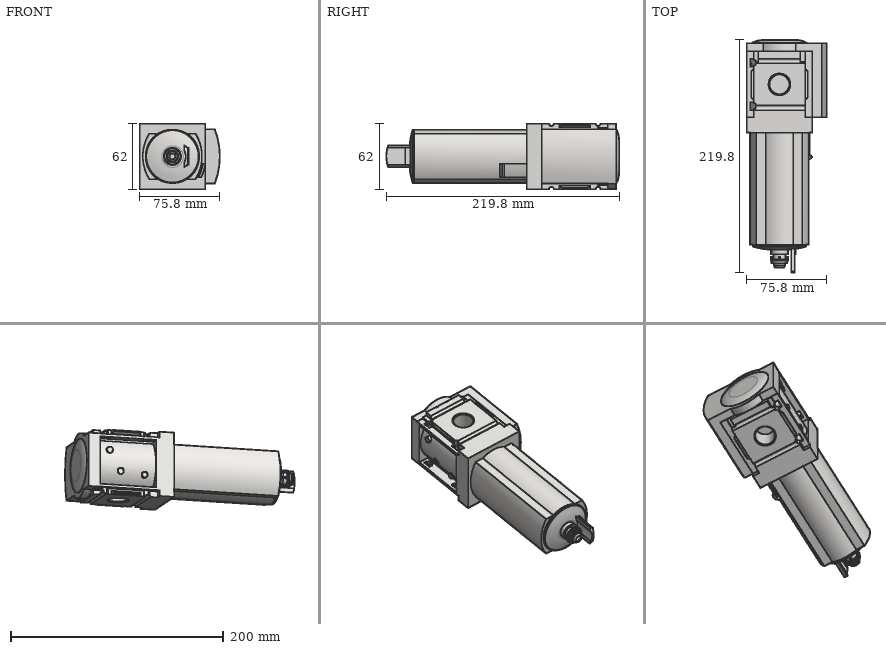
import cadquery as cq

head_half_width = 31.0
head_half_height = 31.0
head_back = 84.5
collar_depth = 14.3
back_wall_front = 76.5
frame_half_height = 25.7
floor_half_height = 25.5
cover_edge_x = 40.0
cover_crown_x = 44.8
back_crown_half_width = 15.4

port_block_half_width = 24.2
port_y = 45.5
port_diameter = 18.7
port_mouth_diameter = 20.7
port_mouth_chamfer = (port_mouth_diameter - port_diameter) / 2
port_depth = 22.0
groove_radius = 2.2
groove_offset = 22.0
corner_pad_height = 27.0
corner_pad_front = 67.0
corner_pad_inner_x = 19.8
lug_length = 29.5
lug_reach = 2.5
lug_bottom = 27.5
lug_face_bottom = 29.5
lug_top = 30.8

window_half_height = 22.9
window_front = 17.5
window_back = 73.0
window_floor_x = -20.9
drum_radius = 29.5
drum_pins = [(62.9, 10.8, 6.0), (28.4, -11.0, 5.5)]
drum_dimple = (51.7, -8.5, 6.0)
drum_dimple_floor_x = -27.0

notch_offset = 20.5
notch_half_width = 3.7
notch_throat_half_width = 3.0
notch_tip_half_width = 2.0
notch_outer_x = -27.5
notch_tip_x = -22.2

cap_back = 87.5
cap_rim_back = 84.6
cap_flat_radius = 15.4

guard_front = -105.7
guard_half_height = 21.5
guard_corner_x = 21.8
guard_side_x = 28.0
bowl_diameter = 50.3

end_ring_radius = 25.3
end_ring_front = -107.0
dome_radius = 24.6
dome_rim_front = -107.7
dome_shoulder = (19.3, -109.0)
dome_flat_radius = 10.1
dome_front = -110.4

drain_bore_diameter = 5.5
drain_bore_depth = 11.0
drain_collar_radius = 8.1
drain_neck_radius = 6.0
drain_steps = [
    (drain_collar_radius, -114.8),
    (drain_neck_radius, -119.5),
    (drain_collar_radius, -121.0),
    (7.5, -123.0),
    (5.5, -125.0),
    (4.8, -127.3),
]
drain_tip_fillet = 1.0
drain_lug_count = 4
drain_lug_width = 1.5
drain_lug_back = -117.2
drain_lug_front = -118.7

tab_inner_x = 11.0
tab_hollow_radius = 12.5
tab_outer_x = 14.5
tab_inner_half_height = 10.3
tab_outer_half_height = 8.0
tab_back = -107.7
tab_tip = -132.3
tab_corner_y = -130.4
tab_pad_x = 15.4
tab_pad_front = -114.5

lock_top = -7.0
lock_bottom = -19.5
lock_thickness = 1.43
lock_ridge_height = 3.7
lock_ridge_back = -21.0
lock_ridge_crest = -22.9
lock_front = -25.0

guard_bulge = guard_side_x - guard_corner_x
guard_side_radius = (guard_half_height**2 + guard_bulge**2) / (2 * guard_bulge)
guard_side_center_x = guard_side_x - guard_side_radius


def block(x0, x1, y0, y1, z0, z1):
    """Box between two corners."""
    return cq.Workplane("XY").box(x1 - x0, y1 - y0, z1 - z0, centered=False).translate((x0, y0, z0))


def along_y(outline, y0, y1):
    """Extrude an XZ outline from y0 to y1, where y1 is greater."""
    return outline.extrude(-(y1 - y0)).translate((0, y0, 0))


def along_x(y, z, diameter, x0, x1):
    """Round bar parallel to X."""
    return cq.Workplane("YZ", origin=(x0, 0, 0)).center(y, z).circle(diameter / 2).extrude(x1 - x0)


def both_sides_z(shape):
    """Shape joined with its mirror image across Z = 0."""
    return shape.union(shape.mirror("XY"))


def both_sides_x(shape):
    """Shape joined with its mirror image across X = 0."""
    return shape.union(shape.mirror("YZ"))



def head_core():
    """Front collar, floors, back wall and the crowned side cover."""
    collar = block(-head_half_width, head_half_width, 0, collar_depth, -head_half_height, head_half_height)
    core = block(-head_half_width, head_half_width, 0, back_wall_front, -floor_half_height, floor_half_height)
    back_wall = block(
        -head_half_width, head_half_width, back_wall_front, head_back, -frame_half_height, frame_half_height
    )
    cover = along_y(
        cq.Workplane("XZ")
        .moveTo(head_half_width, -frame_half_height)
        .lineTo(cover_edge_x, -frame_half_height)
        .threePointArc((cover_crown_x, 0), (cover_edge_x, frame_half_height))
        .lineTo(head_half_width, frame_half_height)
        .close(),
        collar_depth,
        head_back,
    )
    crown = along_y(
        cq.Workplane("XZ")
        .moveTo(-back_crown_half_width, 0)
        .lineTo(-back_crown_half_width, frame_half_height)
        .threePointArc((0, head_half_height), (back_crown_half_width, frame_half_height))
        .lineTo(back_crown_half_width, 0)
        .close(),
        back_wall_front,
        head_back,
    )
    return collar.union(core).union(back_wall).union(cover).union(both_sides_z(crown))


def side_lug():
    """Lug on the -X side of the upper port block, bevelled below and at both ends."""
    root_x = -port_block_half_width
    face_x = root_x - lug_reach
    plan = (
        cq.Workplane("XY")
        .polyline([
            (0, port_y - lug_length / 2),
            (root_x, port_y - lug_length / 2),
            (face_x, port_y - lug_length / 2 + lug_reach),
            (face_x, port_y + lug_length / 2 - lug_reach),
            (root_x, port_y + lug_length / 2),
            (0, port_y + lug_length / 2),
        ])
        .close()
        .extrude(lug_top)
    )
    profile = along_y(
        cq.Workplane("XZ")
        .polyline([
            (0, lug_top),
            (face_x, lug_top),
            (face_x, lug_face_bottom),
            (root_x, lug_bottom),
            (0, lug_bottom),
        ])
        .close(),
        0,
        head_back,
    )
    return plan.intersect(profile)


def port_block():
    """Upper port block with its side lugs, lowered back corners and cross grooves."""
    half_width = port_block_half_width
    body = block(-half_width, half_width, collar_depth, back_wall_front, 0, head_half_height)
    body = body.union(both_sides_x(side_lug()))
    corner = block(
        -half_width, -corner_pad_inner_x, corner_pad_front, back_wall_front, corner_pad_height, head_half_height
    )
    body = body.cut(both_sides_x(corner))
    for direction in (-1, 1):
        groove_y = port_y + direction * groove_offset
        body = body.cut(along_x(groove_y, head_half_height, 2 * groove_radius, -half_width, half_width))
    return body


def port():
    """Upper port with a chamfered mouth."""
    mouth_radius = port_mouth_diameter / 2
    bore_radius = port_diameter / 2
    return (
        cq.Workplane("XZ")
        .polyline([
            (0, head_half_height),
            (mouth_radius, head_half_height),
            (bore_radius, head_half_height - port_mouth_chamfer),
            (bore_radius, head_half_height - port_depth),
            (0, head_half_height - port_depth),
        ])
        .close()
        .revolve(360, (0, 0), (0, 1))
        .translate((0, port_y, 0))
    )


def window():
    """Pocket in the -X side around the round core, its pins left standing and its dimple sunk."""
    pocket = block(
        -head_half_width, window_floor_x, window_front, window_back, -window_half_height, window_half_height
    )
    pocket = pocket.cut(along_y(cq.Workplane("XZ").circle(drum_radius), window_front, window_back))
    for y, z, diameter in drum_pins:
        pocket = pocket.cut(along_x(y, z, diameter, -drum_radius, 0))
    y, z, diameter = drum_dimple
    return pocket.union(along_x(y, z, diameter, -drum_radius, drum_dimple_floor_x))


def notch(y):
    """Upright notch from the upper port block through the floor into the window."""
    return (
        cq.Workplane("XY", origin=(0, y, window_half_height))
        .polyline([
            (notch_outer_x, -notch_half_width),
            (-port_block_half_width, -notch_half_width),
            (-port_block_half_width, -notch_throat_half_width),
            (notch_tip_x, -notch_tip_half_width),
            (notch_tip_x, notch_tip_half_width),
            (-port_block_half_width, notch_throat_half_width),
            (-port_block_half_width, notch_half_width),
            (notch_outer_x, notch_half_width),
        ])
        .close()
        .extrude(head_half_height - window_half_height)
    )


def back_cap():
    """Round cap with a curved shoulder on the back wall."""
    return (
        cq.Workplane("XY")
        .moveTo(0, cap_back)
        .lineTo(cap_flat_radius, cap_back)
        .tangentArcPoint((frame_half_height, cap_rim_back), relative=False)
        .lineTo(frame_half_height, back_wall_front)
        .lineTo(0, back_wall_front)
        .close()
        .revolve(360, (0, 0), (0, 1))
    )


def make_head():
    """Head with its ports, window and notches."""
    head = head_core().union(both_sides_z(port_block())).union(back_cap())
    head = head.cut(both_sides_z(port()))
    head = head.cut(window())
    for direction in (-1, 1):
        head = head.cut(both_sides_z(notch(port_y + direction * notch_offset)))
    return head



def guard():
    """Bulged-sided guard joined with the round bowl."""
    sides = along_y(
        cq.Workplane("XZ")
        .moveTo(-guard_corner_x, guard_half_height)
        .lineTo(guard_corner_x, guard_half_height)
        .threePointArc((guard_side_x, 0), (guard_corner_x, -guard_half_height))
        .lineTo(-guard_corner_x, -guard_half_height)
        .threePointArc((-guard_side_x, 0), (-guard_corner_x, guard_half_height))
        .close(),
        guard_front,
        0,
    )
    return sides.union(along_y(cq.Workplane("XZ").circle(bowl_diameter / 2), guard_front, 0))


def bowl_end():
    """Ring and dome that close the bowl."""
    return (
        cq.Workplane("XY")
        .moveTo(0, guard_front)
        .lineTo(end_ring_radius, guard_front)
        .lineTo(end_ring_radius, end_ring_front)
        .lineTo(dome_radius, end_ring_front)
        .lineTo(dome_radius, dome_rim_front)
        .threePointArc(dome_shoulder, (dome_flat_radius, dome_front))
        .lineTo(0, dome_front)
        .close()
        .revolve(360, (0, 0), (0, 1))
    )


def drain_lug():
    """Small radial lug on the neck of the drain stem."""
    half_width = drain_lug_width / 2
    return block(
        drain_neck_radius / 2, drain_collar_radius, drain_lug_front, drain_lug_back, -half_width, half_width
    )


def drain_stem():
    """Stepped drain stem with radial lugs and a bore in its rounded tip."""
    start = guard_front
    stem = None
    for radius, end in drain_steps:
        step = along_y(cq.Workplane("XZ").circle(radius), end, start)
        stem = step if stem is None else stem.union(step)
        start = end
    for i in range(drain_lug_count):
        stem = stem.union(drain_lug().rotate((0, 0, 0), (0, 1, 0), 360 / drain_lug_count * i))
    stem = stem.faces("<Y").edges().fillet(drain_tip_fillet)
    bore = along_y(cq.Workplane("XZ").circle(drain_bore_diameter / 2), start, start + drain_bore_depth)
    return stem.cut(bore)


def tab():
    """Tab on the +X side of the drain, hollowed inside and rounded at its tip."""
    section = along_y(
        cq.Workplane("XZ")
        .moveTo(tab_inner_x, -tab_inner_half_height)
        .lineTo(tab_outer_x, -tab_outer_half_height)
        .lineTo(tab_outer_x, tab_outer_half_height)
        .lineTo(tab_inner_x, tab_inner_half_height)
        .close(),
        tab_tip,
        tab_back,
    )
    section = section.cut(along_y(cq.Workplane("XZ").circle(tab_hollow_radius), tab_tip, tab_back))
    side_outline = (
        cq.Workplane("YZ")
        .moveTo(tab_back, -tab_inner_half_height)
        .lineTo(tab_corner_y, -tab_inner_half_height)
        .threePointArc((tab_tip, 0), (tab_corner_y, tab_inner_half_height))
        .lineTo(tab_back, tab_inner_half_height)
        .close()
        .extrude(tab_pad_x)
    )
    return section.intersect(side_outline)


def tab_pad():
    """Thicker root of the +X tab."""
    return block(
        tab_outer_x, tab_pad_x, tab_pad_front, tab_back, -tab_outer_half_height, tab_outer_half_height
    )


def lock():
    """Curved lock plate with a pointed ridge on the +X side of the guard."""
    inner = guard_side_radius - lock_thickness
    outer = guard_side_radius + lock_thickness
    ring = (
        cq.Workplane("XY")
        .polyline([
            (inner, 0),
            (outer, 0),
            (outer, lock_ridge_back),
            (guard_side_radius + lock_ridge_height, lock_ridge_crest),
            (outer, lock_front),
            (inner, lock_front),
        ])
        .close()
        .revolve(360, (0, 0), (0, 1))
        .translate((guard_side_center_x, 0, 0))
    )
    return ring.intersect(block(0, cover_crown_x, lock_front, 0, lock_bottom, lock_top))


def make_bowl():
    """Bowl with its guard, drain, tabs and lock."""
    bowl = guard().union(bowl_end()).union(drain_stem())
    right_tab = tab()
    bowl = bowl.union(right_tab).union(right_tab.mirror("YZ")).union(tab_pad())
    return bowl.union(lock())


head = make_head()
bowl = make_bowl()

result = cq.Compound.makeCompound([head.solids().val(), bowl.solids().val()])